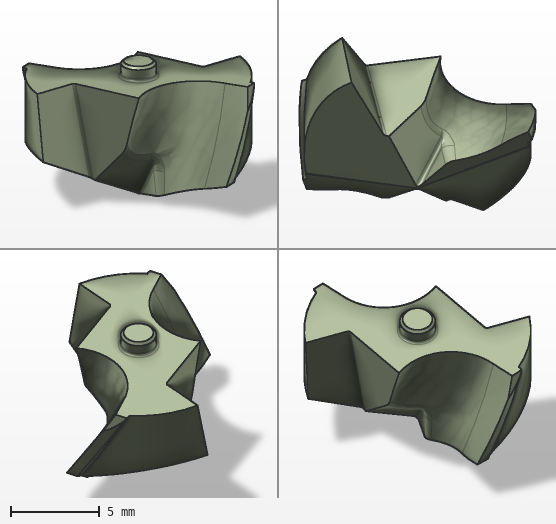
import cadquery as cq
import math

drill_radius = 6.65
land_radius = 6.38
tip_depth = 7.17
twist_rate = 5.113
blank_depth = 7.45
reach = 9.31

margin_front_angle = 0.0
margin_back_angle = 21.0
step_end_angle = 23.3
step_root_radius = 6.28

flute_start = (2.13, -3.59)
flute_middle = (2.43, 0.2)
flute_crest = (4.79, 1.49)
flute_exit = (7.45, 2.0)

wall_offset = 2.98
notch_corner_x = -2.45
notch_side_slope = 0.37
notch_side_tilt = 0.19
wall_tilt = 0.02
notch_fillet = 0.16

lip_slope = (0.34, 0.05)
clearance_slope = (-0.35, -0.4)
gash_slope = (1.07, -0.956)
gash_direction = (13.0, -7.5)
gash_fillet = 0.27
lip_corner_fillet = 0.8
lip_corner = (1.95, -1.13, -5.53)

lead_in_x = 6.18
lead_in_run = 2.7
lead_in_depth = 8.2
cutter_clearance = 0.13

stud_radius = 1.0
stud_height = 0.86
stud_chamfer = 0.16
stud_root_fillet = 0.15
stud_overlap = 0.13


def polar(radius, degrees):
    angle = math.radians(degrees)
    return (radius * math.cos(angle), radius * math.sin(angle))


def half_turn(shape):
    return shape.rotate((0, 0, 0), (0, 0, 1), 180)


def helical(profile):
    """Twist a profile downward from its position on the mounting face."""
    twist = twist_rate * blank_depth
    solid = profile.twistExtrude(blank_depth, twist)
    return solid.rotate((0, 0, 0), (0, 0, 1), -twist).translate((0, 0, -blank_depth))


def below_point_plane(footprint, slope):
    """Part of a vertical prism lying below a sloped plane through the tip."""
    prism = cq.Workplane("XY", origin=(0, 0, -2 * reach)).polyline(footprint).close().extrude(3 * reach)
    plane = cq.Plane(origin=(0, 0, -tip_depth), xDir=(1, 0, slope[0]), normal=(-slope[0], -slope[1], 1))
    return prism.intersect(cq.Workplane(plane).rect(8 * reach, 8 * reach).extrude(-8 * reach))


def make_margin():
    profile = (
        cq.Workplane("XY")
        .moveTo(0, 0)
        .lineTo(*polar(drill_radius, margin_front_angle))
        .threePointArc(
            polar(drill_radius, (margin_front_angle + margin_back_angle) / 2),
            polar(drill_radius, margin_back_angle),
        )
        .lineTo(*polar(step_root_radius, step_end_angle))
        .close()
    )
    return helical(profile)


def make_flute():
    profile = (
        cq.Workplane("XY")
        .moveTo(*flute_start)
        .threePointArc(flute_middle, flute_crest)
        .tangentArcPoint(flute_exit, relative=False)
        .lineTo(reach, flute_exit[1])
        .lineTo(reach, flute_start[1])
        .close()
    )
    return helical(profile)


def make_notch():
    """Open corner between the flat wall and the tilted side face of a land."""
    side_end_x = notch_corner_x - notch_side_slope * (reach - wall_offset)
    side_shift = notch_side_tilt * blank_depth
    open_x = reach / 2
    top = [(notch_corner_x, -wall_offset), (open_x, -wall_offset), (open_x, -reach), (side_end_x, -reach)]
    corner_x = notch_corner_x + side_shift
    wall_y = -wall_offset + wall_tilt * blank_depth
    bottom = [(corner_x, wall_y), (open_x, wall_y), (open_x, -reach), (side_end_x + side_shift, -reach)]
    cutter = (
        cq.Workplane("XY")
        .polyline(top)
        .close()
        .workplane(offset=-blank_depth)
        .polyline(bottom)
        .close()
        .loft(ruled=True)
    )
    corner = (notch_corner_x + side_shift / 2, -wall_offset, -blank_depth / 2)
    return cutter.edges(cq.selectors.NearestToPointSelector(corner)).fillet(notch_fillet)


def make_point_cutters():
    lip = below_point_plane([(0, -reach), (reach, -reach), (reach, reach), (0, reach)], lip_slope)
    gash_end = (reach, reach * gash_direction[1] / gash_direction[0])
    behind_lip = [(0, 0), (-reach, 0), (-reach, -reach), (reach, -reach), gash_end]
    clearance = below_point_plane(behind_lip, clearance_slope)

    gash_start = (-reach, -gash_end[1])
    gash = below_point_plane([gash_start, (-reach, -reach), (reach, -reach), gash_end], gash_slope)
    gash_root = (0, 0, -tip_depth)
    gash = gash.edges(cq.selectors.NearestToPointSelector(gash_root)).fillet(gash_fillet)
    gash = gash.intersect(below_point_plane(behind_lip, gash_slope))
    return [lip, clearance, gash]


def make_lead_in():
    run = lead_in_run / lead_in_depth
    profile = [
        (lead_in_x - run * cutter_clearance, cutter_clearance),
        (lead_in_x + run * blank_depth, -blank_depth),
        (2 * reach, -blank_depth),
        (2 * reach, cutter_clearance),
    ]
    return cq.Workplane("XZ").polyline(profile).close().extrude(reach, both=True)


def make_stud():
    root_radius = stud_radius + stud_root_fillet
    arc_offset = stud_root_fillet * math.sqrt(0.5)
    return (
        cq.Workplane("XZ")
        .moveTo(0, -stud_overlap)
        .lineTo(root_radius, -stud_overlap)
        .lineTo(root_radius, 0)
        .threePointArc(
            (root_radius - arc_offset, stud_root_fillet - arc_offset),
            (stud_radius, stud_root_fillet),
        )
        .lineTo(stud_radius, stud_height - stud_chamfer)
        .lineTo(stud_radius - stud_chamfer, stud_height)
        .lineTo(0, stud_height)
        .close()
        .revolve(360, (0, 0, 0), (0, 1, 0))
    )


body = cq.Workplane("XY").circle(land_radius).extrude(-blank_depth)
margin = make_margin()
body = body.union(margin).union(half_turn(margin))

for cutter in [make_flute(), make_notch(), make_lead_in()] + make_point_cutters():
    body = body.cut(cutter).cut(half_turn(cutter))

for corner in [lip_corner, (-lip_corner[0], -lip_corner[1], lip_corner[2])]:
    body = body.edges(cq.selectors.NearestToPointSelector(corner)).fillet(lip_corner_fillet)

result = body.union(make_stud())